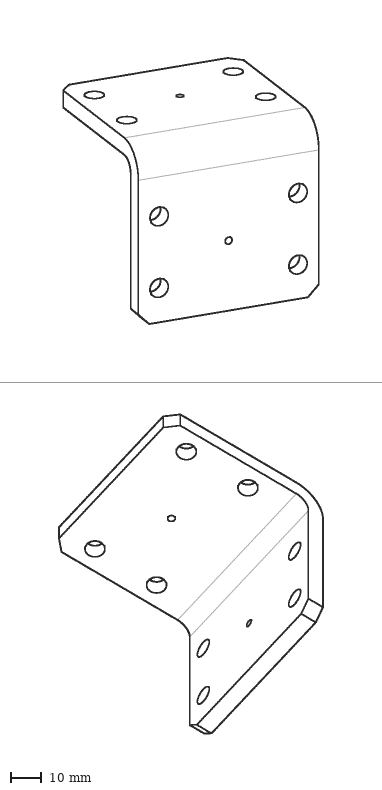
import cadquery as cq

leg_length = 62.0
width = 65.0
thickness = 6.0
inner_bend_radius = 5.0
outer_bend_radius = inner_bend_radius + thickness
corner_chamfer = 3.95

bolt_diameter = 6.5
pilot_diameter = 2.5
bolt_pitch_across = 50.0
bolt_pitch_along = 25.0
first_bolt_from_edge = 12.0
pattern_from_edge = first_bolt_from_edge + bolt_pitch_along / 2
pattern_position = leg_length / 2 - pattern_from_edge

half_leg = leg_length / 2


def bent_plate():
    """L-shaped strip with concentric inner and outer bends."""
    inner_face = half_leg - thickness
    profile = (
        cq.Workplane("XZ")
        .moveTo(-half_leg, half_leg)
        .lineTo(half_leg, half_leg)
        .lineTo(half_leg, -half_leg)
        .lineTo(inner_face, -half_leg)
        .lineTo(inner_face, inner_face)
        .lineTo(-half_leg, inner_face)
        .close()
    )
    strip = profile.extrude(width / 2, both=True)
    strip = strip.edges("|Y").edges(">X and >Z").fillet(outer_bend_radius)
    inner_corner = cq.selectors.NearestToPointSelector((inner_face, 0, inner_face))
    return strip.edges("|Y").edges(inner_corner).fillet(inner_bend_radius)


def chamfer_free_corners(plate):
    """Cut the two outer corners at the free end of each plate."""
    plate = plate.faces("<X").edges("|Z").chamfer(corner_chamfer)
    return plate.faces("<Z").edges("|X").chamfer(corner_chamfer)


def hole_cutters(plane):
    """Four bolt holes around a central pilot hole, long enough to pass through one plate."""
    bolts = (
        cq.Workplane(plane)
        .rarray(bolt_pitch_along, bolt_pitch_across, 2, 2)
        .circle(bolt_diameter / 2)
        .extrude(thickness)
    )
    pilot = cq.Workplane(plane).circle(pilot_diameter / 2).extrude(thickness)
    return bolts.union(pilot)


top_plane = cq.Plane(origin=(-pattern_position, 0, half_leg), xDir=(1, 0, 0), normal=(0, 0, -1))
side_plane = cq.Plane(origin=(half_leg, 0, -pattern_position), xDir=(0, 0, 1), normal=(-1, 0, 0))

result = chamfer_free_corners(bent_plate())
for hole_plane in (top_plane, side_plane):
    result = result.cut(hole_cutters(hole_plane))